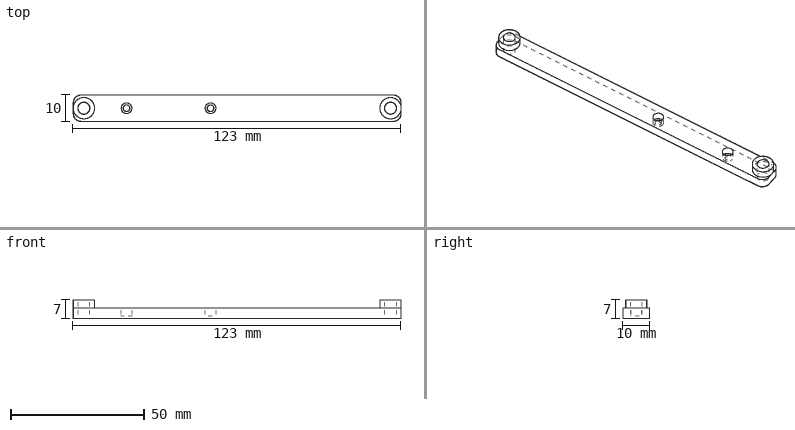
import cadquery as cq

bar_length = 123.0
bar_width = 10.0
bar_thickness = 4.0
corner_radius = 3.0

boss_diameter = 8.0
boss_height = 3.0
boss_hole_diameter = 4.4
boss_x = (bar_length - boss_diameter) / 2
boss_centers = [(-boss_x, 0), (boss_x, 0)]

screw_hole_diameter = 2.4
counterbore_diameter = 4.0
counterbore_depth = 3.0
boss_to_first_screw = 16.0
screw_spacing = 31.5
first_screw_x = -boss_x + boss_to_first_screw
screw_centers = [(first_screw_x, 0), (first_screw_x + screw_spacing, 0)]


def make_bar():
    """Flat bar resting on Z = 0, with rounded vertical corners."""
    blank = cq.Workplane("XY").box(bar_length, bar_width, bar_thickness, centered=(True, True, False))
    return blank.edges("|Z").fillet(corner_radius)


def add_end_bosses(body):
    """Raise a round boss at each end and bore it through the bar."""
    top_of_bar = cq.Workplane("XY").workplane(offset=bar_thickness)
    bosses = top_of_bar.pushPoints(boss_centers).circle(boss_diameter / 2).extrude(boss_height)
    total_height = bar_thickness + boss_height
    bores = cq.Workplane("XY").pushPoints(boss_centers).circle(boss_hole_diameter / 2).extrude(total_height)
    return body.union(bosses).cut(bores)


def cut_screw_holes(body):
    """Cut through holes with counterbores opening on the top of the bar."""
    top_of_bar = body.copyWorkplane(cq.Workplane("XY", origin=(0, 0, bar_thickness)))
    hole_points = top_of_bar.pushPoints(screw_centers)
    return hole_points.cboreHole(screw_hole_diameter, counterbore_diameter, counterbore_depth)


result = cut_screw_holes(add_end_bosses(make_bar()))